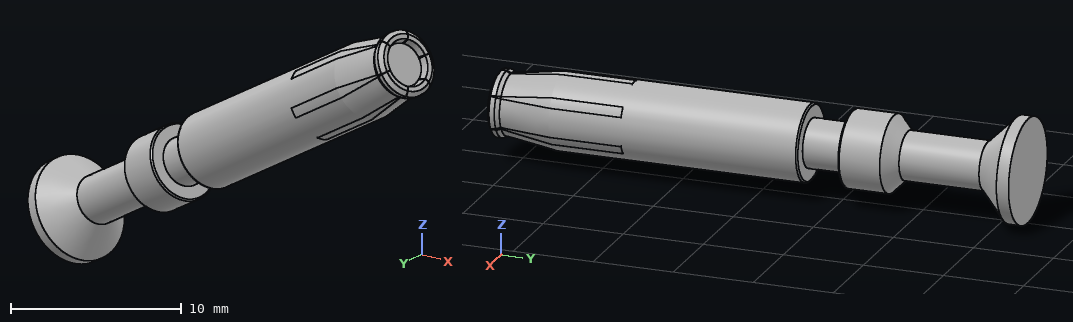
import cadquery as cq

TOTAL_LENGTH = 33.1
BACK_Y = TOTAL_LENGTH / 2
TIP_Y = -TOTAL_LENGTH / 2

FLANGE_R = 6.5 / 2
FLANGE_THICKNESS = 0.75
STEM_R = 3.0 / 2
BARREL_R = 4.75 / 2
REAR_STEM_LENGTH = 5.0
COLLAR_LENGTH = 3.5
FRONT_STEM_LENGTH = 2.5
EDGE_CHAMFER = 0.1

NOSE_LENGTH = 4.05
NECK_R = 3.8 / 2
NECK_FROM_TIP = 0.8
LIP_R = 2.05
LIP_BACK_FROM_TIP = 0.53
LIP_CHAMFER_LENGTH = 0.2
RIM_R = 1.75

MOUTH_R = 1.45
RIM_DISH = 0.03
MOUTH_TAPER = 0.13
MOUTH_DEPTH = 0.5

FINGER_COUNT = 6
SLOT_LENGTH = 8.5
SLOT_WIDTH = 0.63
SLOT_TIP_WIDTH = 0.015

flange_front_y = BACK_Y - FLANGE_THICKNESS
rear_stem_y = flange_front_y - (FLANGE_R - STEM_R)
collar_back_y = rear_stem_y - REAR_STEM_LENGTH
collar_shoulder_y = collar_back_y - (BARREL_R - STEM_R)
collar_front_y = collar_back_y - COLLAR_LENGTH
barrel_back_y = collar_front_y - FRONT_STEM_LENGTH
nose_y = TIP_Y + NOSE_LENGTH
slot_back_y = TIP_Y + SLOT_LENGTH
mouth_edge_y = TIP_Y + RIM_DISH
mouth_floor_y = TIP_Y + MOUTH_DEPTH
core_r = MOUTH_R - MOUTH_TAPER


def make_envelope():
    """Turned outer shape of the whole contact, with the mouth recess, fins included."""
    profile = [
        (0, BACK_Y),
        (FLANGE_R, BACK_Y),
        (FLANGE_R, flange_front_y),
        (STEM_R, rear_stem_y),
        (STEM_R, collar_back_y),
        (BARREL_R, collar_shoulder_y),
        (BARREL_R, collar_front_y + EDGE_CHAMFER),
        (BARREL_R - EDGE_CHAMFER, collar_front_y),
        (STEM_R, collar_front_y),
        (STEM_R, barrel_back_y),
        (BARREL_R - EDGE_CHAMFER, barrel_back_y),
        (BARREL_R, barrel_back_y - EDGE_CHAMFER),
        (BARREL_R, nose_y),
        (NECK_R, TIP_Y + NECK_FROM_TIP),
        (LIP_R, TIP_Y + LIP_BACK_FROM_TIP),
        (LIP_R, TIP_Y + LIP_CHAMFER_LENGTH),
        (RIM_R, TIP_Y),
        (MOUTH_R, mouth_edge_y),
        (core_r, mouth_floor_y),
        (0, mouth_floor_y),
    ]
    return cq.Workplane("XY").polyline(profile).close().revolve(360, (0, 0), (0, 1))


def make_fin(angle):
    """Radial blade that fills one slot: parallel along the barrel, closing towards the tip."""
    half_width = SLOT_WIDTH / 2
    half_tip_width = SLOT_TIP_WIDTH / 2
    plan = [
        (-half_width, slot_back_y),
        (half_width, slot_back_y),
        (half_width, nose_y),
        (half_tip_width, TIP_Y),
        (-half_tip_width, TIP_Y),
        (-half_width, nose_y),
    ]
    blade = cq.Workplane("XY").polyline(plan).close().extrude(FLANGE_R)
    return blade.rotate((0, 0, 0), (0, 1, 0), angle)


def make_core(envelope):
    """Round core behind the mouth, with one fin filling each slot flush with the outside."""
    core = cq.Workplane("XZ", origin=(0, TIP_Y, 0)).circle(core_r).extrude(-SLOT_LENGTH)
    for i in range(FINGER_COUNT):
        core = core.union(make_fin(i * 360 / FINGER_COUNT))
    return core.intersect(envelope)


envelope = make_envelope()
core = make_core(envelope)
contact = envelope.cut(core)

result = cq.Compound.makeCompound([contact.val(), core.val()])